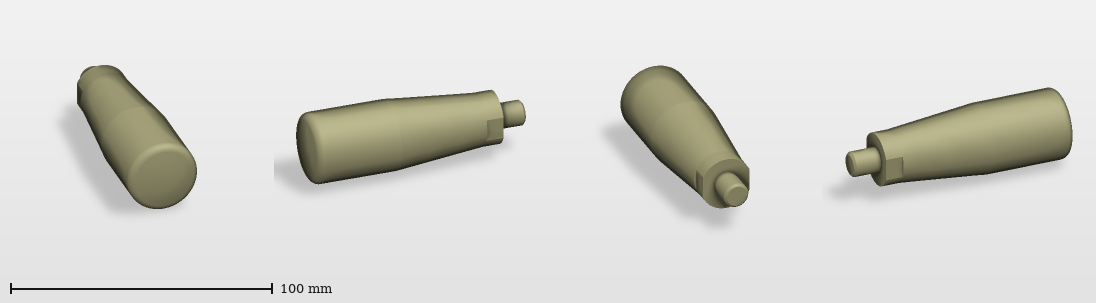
import cadquery as cq
import math

total_length = 89
shoulder_x = 11.0
collar_end_x = 18.0
taper_end_x = 54.0

stud_diameter = 10.0
collar_diameter = 21.0
grip_diameter = 28.0

stud_chamfer = 0.9
flats_width = 19.05
end_fillet_radius = 3.0
dome_radius = 53.4

stud_radius = stud_diameter / 2
collar_radius = collar_diameter / 2
grip_radius = grip_diameter / 2

dome_center_x = total_length - dome_radius
fillet_center_r = grip_radius - end_fillet_radius
center_distance = dome_radius - end_fillet_radius
fillet_center_x = dome_center_x + math.sqrt(center_distance**2 - fillet_center_r**2)
dome_edge_angle = math.asin(fillet_center_r / center_distance)


def dome_point(angle):
    """Point (x, radius) on the dome at an angle from the axis."""
    return (
        dome_center_x + dome_radius * math.cos(angle),
        dome_radius * math.sin(angle),
    )


def fillet_point(angle):
    """Point (x, radius) on the end fillet at an angle from the axis."""
    return (
        fillet_center_x + end_fillet_radius * math.cos(angle),
        fillet_center_r + end_fillet_radius * math.sin(angle),
    )


def turned_body():
    """Stud, collar, tapered neck and domed grip revolved about the X axis."""
    fillet_middle_angle = (dome_edge_angle + math.pi / 2) / 2
    half_profile = (
        cq.Workplane("XY")
        .lineTo(0, stud_radius - stud_chamfer)
        .lineTo(stud_chamfer, stud_radius)
        .lineTo(shoulder_x, stud_radius)
        .lineTo(shoulder_x, collar_radius)
        .lineTo(collar_end_x, collar_radius)
        .lineTo(taper_end_x, grip_radius)
        .lineTo(fillet_center_x, grip_radius)
        .threePointArc(fillet_point(fillet_middle_angle), dome_point(dome_edge_angle))
        .threePointArc(dome_point(dome_edge_angle / 2), (total_length, 0))
        .close()
    )
    return half_profile.revolve(360, (0, 0, 0), (1, 0, 0))


def collar_flats():
    """Material outside the two wrench flats, which face -Y and +Y."""
    collar_length = collar_end_x - shoulder_x
    collar_span = cq.Workplane("XY").box(collar_length, grip_diameter, grip_diameter)
    kept_span = cq.Workplane("XY").box(collar_length, flats_width, grip_diameter)
    return collar_span.cut(kept_span).translate(((shoulder_x + collar_end_x) / 2, 0, 0))


result = turned_body().cut(collar_flats())